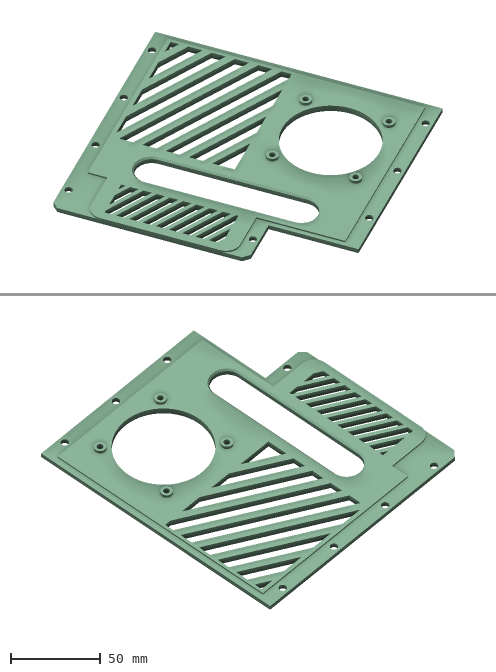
import cadquery as cq
import math

plate_length = 172.5
plate_depth = 156.8
plate_thickness = 3.0
body_depth = 126.5
tab_width = 118.5
tab_chamfer = 3.8

panel_height = 1.0
panel_side_margin = 9.0
panel_back_margin = 3.8
panel_front_margin = 2.6
panel_tab_left = 20.7
panel_tab_right_margin = 8.3
panel_tab_right = tab_width - panel_tab_right_margin
panel_tab_radius = 8.6
panel_top = plate_thickness + panel_height

screw_hole_diameter = 4.7
screw_hole_inset = 4.1
tab_hole_inset = 3.8
side_screw_rows = 3
first_screw_row = 15.0
screw_row_pitch = 42.5
tab_screw_row = 140.5

fan_center_x = 125.0
fan_center_row = 49.0
fan_diameter = 58.0
standoff_pitch = 50.0
standoff_diameter = 7.0
standoff_hole_diameter = 3.8
standoff_height = 1.9

slot_length = 109.7
slot_width = 20.0
slot_center_row = 108.7
slot_rim_chamfer = 1.0
slot_rim_angle = 45.0

louver_angle = 60.0


def from_back(row):
    """Y coordinate of a place measured forward from the back edge."""
    return plate_depth - row


def louver_window(left, right, back_row, front_row, first_bar, bar_count, bar_pitch, bar_width):
    """Rectangular opening crossed by slanted bars.

    first_bar is the X of the left side of the first bar on the back edge; the pitch
    and width of the bars are measured along X.
    """
    width = right - left
    depth = front_row - back_row
    opening = (
        cq.Workplane("XY")
        .box(width, depth, panel_top, centered=False)
        .translate((left, from_back(front_row), 0))
    )
    lean = depth / math.tan(math.radians(louver_angle))
    for index in range(bar_count):
        bar_left = first_bar + index * bar_pitch
        bar = (
            cq.Workplane("XY")
            .moveTo(bar_left, from_back(back_row))
            .lineTo(bar_left + bar_width, from_back(back_row))
            .lineTo(bar_left + bar_width - lean, from_back(front_row))
            .lineTo(bar_left - lean, from_back(front_row))
            .close()
            .extrude(panel_top)
        )
        opening = opening.cut(bar)
    return opening


def base_plate():
    """Plate outline with the two front tab corners chamfered."""
    body_front = from_back(body_depth)
    return (
        cq.Workplane("XY")
        .moveTo(tab_chamfer, 0)
        .lineTo(tab_width - tab_chamfer, 0)
        .lineTo(tab_width, tab_chamfer)
        .lineTo(tab_width, body_front)
        .lineTo(plate_length, body_front)
        .lineTo(plate_length, plate_depth)
        .lineTo(0, plate_depth)
        .lineTo(0, tab_chamfer)
        .close()
        .extrude(plate_thickness)
    )


def raised_panel():
    """Panel following the plate, with a round-cornered tab flush with the front edge."""
    panel_left = panel_side_margin
    panel_right = plate_length - panel_side_margin
    panel_front = from_back(body_depth) + panel_front_margin
    panel_back = from_back(panel_back_margin)
    return (
        cq.Workplane("XY", origin=(0, 0, plate_thickness))
        .moveTo(panel_tab_left + panel_tab_radius, 0)
        .lineTo(panel_tab_right - panel_tab_radius, 0)
        .radiusArc((panel_tab_right, panel_tab_radius), -panel_tab_radius)
        .lineTo(panel_tab_right, panel_front)
        .lineTo(panel_right, panel_front)
        .lineTo(panel_right, panel_back)
        .lineTo(panel_left, panel_back)
        .lineTo(panel_left, panel_front)
        .lineTo(panel_tab_left, panel_front)
        .lineTo(panel_tab_left, panel_tab_radius)
        .radiusArc((panel_tab_left + panel_tab_radius, 0), -panel_tab_radius)
        .close()
        .extrude(panel_height)
    )


def standoffs(diameter, bottom, top):
    """Four cylinders on the fan screw pattern."""
    return (
        cq.Workplane("XY", origin=(fan_center_x, from_back(fan_center_row), bottom))
        .rect(standoff_pitch, standoff_pitch, forConstruction=True)
        .vertices()
        .circle(diameter / 2)
        .extrude(top - bottom)
    )


def screw_holes():
    """Evenly spaced rows on both sides of the body and one row on the tab."""
    places = []
    for index in range(side_screw_rows):
        y = from_back(first_screw_row + index * screw_row_pitch)
        places.append((screw_hole_inset, y))
        places.append((plate_length - screw_hole_inset, y))
    places.append((screw_hole_inset, from_back(tab_screw_row)))
    places.append((tab_width - tab_hole_inset, from_back(tab_screw_row)))
    return cq.Workplane("XY").pushPoints(places).circle(screw_hole_diameter / 2).extrude(plate_thickness)


def fan_opening():
    """Round hole through the panel and the plate."""
    return (
        cq.Workplane("XY")
        .center(fan_center_x, from_back(fan_center_row))
        .circle(fan_diameter / 2)
        .extrude(panel_top)
    )


def handle_slot():
    """Full-height slot that widens at the panel surface to form the rim chamfer."""
    slot = (
        cq.Workplane("XY")
        .center(plate_length / 2, from_back(slot_center_row))
        .slot2D(slot_length, slot_width)
        .extrude(panel_top)
    )
    rim_length = slot_length + 2 * slot_rim_chamfer
    rim_width = slot_width + 2 * slot_rim_chamfer
    rim = (
        cq.Workplane("XY", origin=(plate_length / 2, from_back(slot_center_row), panel_top))
        .slot2D(rim_length, rim_width)
        .extrude(-slot_rim_chamfer, taper=slot_rim_angle)
    )
    return slot.union(rim)


large_louvers = louver_window(
    left=11.5,
    right=84.2,
    back_row=5.7,
    front_row=91.3,
    first_bar=16.7,
    bar_count=8,
    bar_pitch=14.0,
    bar_width=5.5,
)
small_louvers = louver_window(
    left=30.0,
    right=100.5,
    back_row=body_depth,
    front_row=151.5,
    first_bar=32.6,
    bar_count=11,
    bar_pitch=8.0,
    bar_width=3.0,
)

result = (
    base_plate()
    .union(raised_panel())
    .union(standoffs(standoff_diameter, panel_top, panel_top + standoff_height))
    .cut(standoffs(standoff_hole_diameter, 0, panel_top + standoff_height))
    .cut(screw_holes())
    .cut(fan_opening())
    .cut(handle_slot())
    .cut(large_louvers)
    .cut(small_louvers)
)